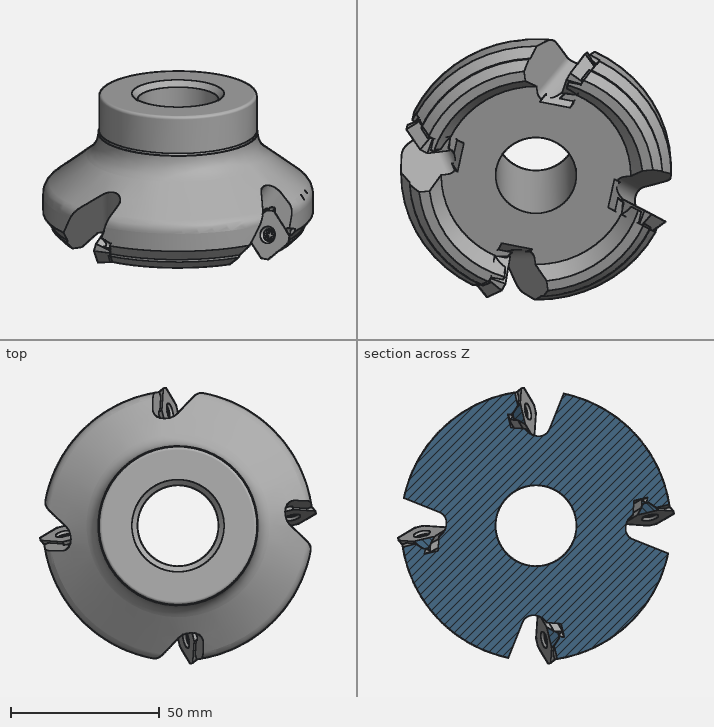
import cadquery as cq
import math

tooth_count = 4

total_height = 50
face_height = 0.9
bore_radius = 27.05 / 2
bore_chamfer = 1.9
shank_radius = 53.0 / 2
shank_edge_radius = 1.0
collar_radius = 53.5 / 2
collar_height = 36.3
collar_chamfer_height = 0.8
neck_fillet = 10.0
shoulder_angle = 37.7
rim_radius = 45.3
rim_fillet = 5.0
rim_corner_height = 17.2
rim_bottom_height = 8.6
step_radius = 42.4
step_top_height = 4.8
step_bottom_height = 4.0
face_radius = 39.4
recess_ceiling_height = 6.3
recess_top_radius = 31.8
recess_mouth_radius = 35.85

axial_rake = 18.7
radial_rake = 13.4
lead_angle = 45
insert_centre = (38.3, 2.7, 7.8)
insert_width = 13.1
insert_depth = 13.9
insert_corner_cut = 1.9
insert_thickness = 4.7
insert_relief = 25

screw_sink_diameter = 5.65
screw_sink_depth = 0.9
screw_head_diameter = 4.1
socket_diameter = 3.5
socket_depth = 1.85
socket_lobes = 6
lobe_radius = socket_diameter / 8

pocket_access = 4.6
pocket_overrun = 7.4
pocket_back_clearance = 0.9
corner_relief_radius = 1.3
outer_relief_position = -3.5

gash_root_radius = 4.35
gash_opening = 34.5
gash_lean = 30.5
gash_root_offset = 5.6
gash_floor_drop = 0.9
gash_reach = 37.05

rake_plane = cq.Plane(
    origin=insert_centre,
    xDir=(1, math.tan(math.radians(radial_rake)), 0),
    normal=(math.tan(math.radians(radial_rake)), -1, math.tan(math.radians(axial_rake))),
)


def insert_frame():
    """Rake plane turned so that the insert's sides lie along its X and Y."""
    return cq.Workplane(rake_plane).transformed(rotate=(0, 0, lead_angle))


def make_turned_blank():
    """Half section in the XZ plane turned about Z, before any gash is cut."""
    slope = math.radians(shoulder_angle)
    tangent_ratio = math.tan((math.pi / 2 - slope) / 2)
    rim_tangent = rim_fillet * tangent_ratio
    neck_tangent = neck_fillet * tangent_ratio
    neck_corner_height = rim_corner_height + (rim_radius - collar_radius) * math.tan(slope)
    cone_foot = (
        rim_radius - rim_tangent * math.cos(slope),
        rim_corner_height + rim_tangent * math.sin(slope),
    )
    cone_top = (
        collar_radius + neck_tangent * math.cos(slope),
        neck_corner_height - neck_tangent * math.sin(slope),
    )
    return (
        cq.Workplane("XZ")
        .moveTo(bore_radius, recess_ceiling_height)
        .lineTo(recess_top_radius, recess_ceiling_height)
        .lineTo(recess_mouth_radius, face_height)
        .lineTo(face_radius, face_height)
        .lineTo(step_radius, step_bottom_height)
        .lineTo(step_radius, step_top_height)
        .lineTo(rim_radius, rim_bottom_height)
        .lineTo(rim_radius, rim_corner_height - rim_tangent)
        .tangentArcPoint(cone_foot, relative=False)
        .lineTo(*cone_top)
        .tangentArcPoint((collar_radius, neck_corner_height + neck_tangent), relative=False)
        .lineTo(collar_radius, collar_height)
        .lineTo(shank_radius, collar_height + collar_chamfer_height)
        .lineTo(shank_radius, total_height - shank_edge_radius)
        .tangentArcPoint((shank_radius - shank_edge_radius, total_height), relative=False)
        .lineTo(bore_radius + bore_chamfer, total_height)
        .lineTo(bore_radius, total_height - bore_chamfer)
        .close()
        .revolve(360, (0, 0, 0), (0, 1, 0))
    )


def make_gash():
    """V-shaped slot with a round root; its floor is parallel to the rake face."""
    lean = math.radians(gash_lean)
    opening = math.radians(gash_opening)
    across = rake_plane.xDir * math.cos(lean) - rake_plane.yDir * math.sin(lean)
    along = rake_plane.xDir * math.sin(lean) + rake_plane.yDir * math.cos(lean)
    root = rake_plane.origin - across * gash_root_offset - rake_plane.zDir * gash_floor_drop
    wall_start_x = -gash_root_radius * math.sin(opening)
    wall_start_y = gash_root_radius * (1 + math.cos(opening))
    wall_end_y = wall_start_y + (gash_reach - wall_start_x) * math.tan(opening)
    return (
        cq.Workplane(cq.Plane(origin=root, xDir=across, normal=along * -1))
        .lineTo(gash_reach, 0)
        .lineTo(gash_reach, wall_end_y)
        .lineTo(wall_start_x, wall_start_y)
        .threePointArc((-gash_root_radius, gash_root_radius), (0, 0))
        .close()
        .extrude(gash_reach, both=True)
    )


def make_insert_blank():
    """Rectangle with cut corners, its flanks relieved below the rake face."""
    return (
        insert_frame()
        .sketch()
        .rect(insert_width, insert_depth)
        .vertices()
        .chamfer(insert_corner_cut)
        .finalize()
        .extrude(-insert_thickness, taper=insert_relief)
    )


def make_pocket():
    """Insert seat, open above the rake face and towards the cutter axis, with clearance behind."""
    access = (
        insert_frame()
        .center(-pocket_overrun / 2, pocket_back_clearance / 2)
        .rect(insert_width + pocket_overrun, insert_depth + pocket_back_clearance)
        .extrude(pocket_access)
    )
    back_gap = (
        insert_frame()
        .center(-pocket_overrun / 2, insert_depth / 2)
        .rect(insert_width + pocket_overrun - 2 * insert_corner_cut, 2 * pocket_back_clearance)
        .extrude(-insert_thickness)
    )
    back_corner = ((insert_width - insert_corner_cut) / 2, (insert_depth - insert_corner_cut) / 2)
    outer_wall_end = (insert_width / 2, outer_relief_position)
    reliefs = (
        insert_frame()
        .pushPoints([back_corner, outer_wall_end])
        .circle(corner_relief_radius)
        .extrude(-insert_thickness)
    )
    return make_insert_blank().union(access).union(back_gap).union(reliefs)


def make_screw_recess():
    """Countersink round the screw head, with the lobed drive socket below it."""
    sink = cq.Solid.makeCone(
        screw_sink_diameter / 2,
        screw_head_diameter / 2,
        screw_sink_depth,
        rake_plane.origin,
        rake_plane.zDir * -1,
    )
    socket_bottom = -screw_sink_depth - socket_depth
    core = (
        cq.Workplane(rake_plane)
        .polygon(socket_lobes, socket_diameter - 2 * lobe_radius)
        .extrude(socket_bottom)
    )
    lobes = (
        cq.Workplane(rake_plane)
        .polarArray(socket_diameter / 2 - lobe_radius, 0, 360, socket_lobes)
        .circle(lobe_radius)
        .extrude(socket_bottom)
    )
    return core.union(lobes).union(cq.Workplane(sink))


def at_tooth(shape, tooth):
    """Turn a shape of the first tooth about the cutter axis to another tooth."""
    return shape.rotate((0, 0, 0), (0, 0, 1), tooth * 360 / tooth_count)


def make_body():
    body = make_turned_blank()
    tooth_space = make_gash().union(make_pocket())
    for tooth in range(tooth_count):
        body = body.cut(at_tooth(tooth_space, tooth))
    return body


def make_insert():
    return make_insert_blank().cut(make_screw_recess())


body = make_body()
first_insert = make_insert()
inserts = [at_tooth(first_insert, tooth) for tooth in range(tooth_count)]

result = cq.Compound.makeCompound(
    [body.solids().val(), *[insert.solids().val() for insert in inserts]]
)